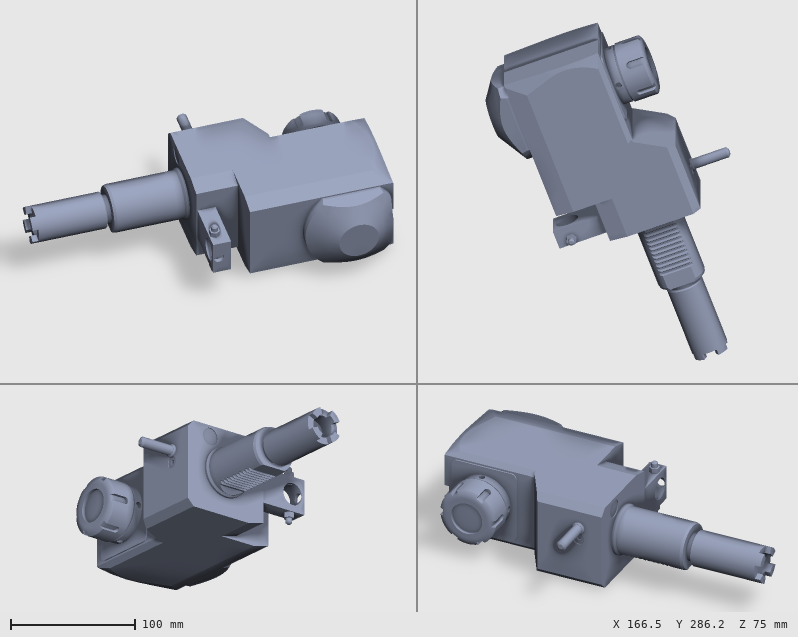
import cadquery as cq
import math


HALF_HEIGHT = 37.5
BACK_Y = 156.0
FOOT_LEFT = -39.0
FOOT_RIGHT = 39.0
HEAD_LEFT = -8.5
HEAD_RIGHT = 72.0
HEAD_FRONT_Y = 35.2
SLANT_START_Y = 57.8
SLANT_ANGLE = 30
SLANT_END_Y = SLANT_START_Y + (HEAD_LEFT - FOOT_LEFT) * math.tan(math.radians(SLANT_ANGLE))
RIGHT_BEVEL_WIDTH = 15.0
RIGHT_BEVEL_ANGLE = 15
RIGHT_BEVEL_DROP = RIGHT_BEVEL_WIDTH * math.tan(math.radians(RIGHT_BEVEL_ANGLE))
FOOT_BEVEL = 6.0
HEAD_BEVEL_WIDTH = 4.0
HEAD_BEVEL_DROP = 4.3

CROWN_ANGLE = 14
CROWN_PEAK_X = 21.5
CROWN_PEAK_Z = 36.5
CROWN_RADIUS = 169.0
CROWN_ARC_END = 14.0
CROWN_LENGTH = 40.0
SLOT_HALF_WIDTH = 5.0
SLOT_DEPTH = 3.7

SPINDLE_Y = 120.2

PAD_THICKNESS = 1.1
PAD_SIZE_Y = 58.0
PAD_SIZE_Z = 63.3
PAD_CORNER = 5.0
NUT_RADIUS = 25.0
NUT_FRONT_X = -41.2
NUT_SHOULDER_X = -38.6
NUT_BACK_X = -19.0
NUT_FACE_RADIUS = 18.0
NUT_ROUNDING_X = -40.5
NUT_ROUNDING_RADIUS = 22.3
COLLET_RADIUS = 14.0
COLLET_RECESS = 3.0
NECK_RADIUS = 23.0
RING_RADIUS = 24.0
RING_FRONT_X = -17.2
RING_HOLE_X = -13.2
RING_HOLE_RADIUS = 2.5
RING_HOLE_DEPTH = 4.3
RING_HOLE_COUNT = 4
NUT_SLOT_COUNT = 6
NUT_SLOT_WIDTH = 6.0
NUT_SLOT_END_X = -24.5
NUT_SLOT_FLOOR = 21.8

CAP_RADIUS = 40.5
CAP_RIM_X = 79.0
CAP_END_X = 95.0
CAP_END_RADIUS = 16.5
CAP_FLAT_Y = 152.0
CAP_SIDE_Z = 32.3
CAP_SIDE_START_X = 74.5
CAP_SIDE_ANGLE = 12

COLLAR_RADIUS = 21.5
COLLAR_LENGTH = 2.0
COLLAR_END_Y = -3.7
SHANK_RADIUS = 20.0
SHANK_END_Y = -63.0
SHANK_CHAMFER_LENGTH = 2.3
SHANK_CHAMFER_DEPTH = 1.0
GROOVE_RADIUS = 12.0
DRIVE_START_Y = -67.0
DRIVE_RADIUS = 15.2
DRIVE_CHAMFER = 1.0
CLAW_LENGTH = 5.0
DRIVE_END_Y = -130.2
CLAW_BORE_RADIUS = 9.5
CLAW_BORE_DEPTH = 17.2
CLAW_SLOT_COUNT = 4
CLAW_SLOT_ANGLE = 48

FLAT_Z = -16.0
FLAT_START_Y = -8.0
RACK_PITCH = 4.0
RACK_GAP_COUNT = 10
RACK_FIRST_Y = -12.0
RACK_DEPTH = 2.0
GAP_TOP_WIDTH = 3.5
GAP_ROOT_WIDTH = 1.5

ARM_END_X = 82.0
ARM_FRONT_Y = 1.1
ARM_THICKNESS = 15.2
ARM_HALF_HEIGHT = 15.2
ARM_HOLE_X = 69.8
ARM_HOLE_RADIUS = 9.5
CROSS_HOLE_RADIUS = 4.3
SCREW_Y = 6.0
SCREW_RADIUS = 2.72
SCREW_INNER_Z = 9.0
SCREW_CHAMFER = 1.1
SCREW_END_Z = 24.5
HEX_NUT_WIDTH = 9.0
HEX_NUT_END_Z = 19.8

PIN_Y = 21.0
PIN_Z = 16.0
PIN_RADIUS = 4.3
PIN_TIP_X = -71.5
PIN_TIP_LENGTH = 1.7
PIN_TIP_RADIUS = 2.3
PIN_COLLAR_RADIUS = 5.5
PIN_COLLAR_LENGTH = 2.0
PIN_COLLAR_CHAMFER = 1.0
LOCK_SCREW_Z = 6.3
LOCK_SCREW_RADIUS = 5.2
LOCK_SOCKET_WIDTH = 4.0
LOCK_SOCKET_DEPTH = 2.5
PLUG_X = -16.0
PLUG_Z = 27.8
PLUG_RADIUS = 7.5
SEAT_DEPTH = 1.0

OVERLAP = 3.0
CLEARANCE = 14.3


def cylinder_x(start_x, end_x, y, z, radius):
    """Cylinder along X between two X positions."""
    return cq.Workplane("YZ", origin=(start_x, y, z)).circle(radius).extrude(end_x - start_x)


def prism_y(points, start_y, end_y):
    """Prism along Y over an outline of (x, z) points."""
    return cq.Workplane("XZ", origin=(0, start_y, 0)).polyline(points).close().extrude(start_y - end_y)


def mirrored(solid):
    """The solid together with its mirror image below Z = 0."""
    return solid.union(solid.mirror("XY"))


def edge_bevel(corner_x, width, drop, start_y, end_y):
    """Wedges for a top and bottom edge; positive width runs from a right-hand edge inward."""
    outside = math.copysign(OVERLAP, width)
    slope = drop / abs(width)
    points = [
        (corner_x - width, HALF_HEIGHT),
        (corner_x + outside, HALF_HEIGHT - drop - slope * OVERLAP),
        (corner_x + outside, HALF_HEIGHT + OVERLAP),
        (corner_x - width, HALF_HEIGHT + OVERLAP),
    ]
    return mirrored(prism_y(points, start_y, end_y))


def crown_cutter():
    """Material above a shallow ridge that slopes down towards the back face."""
    tilt = math.radians(CROWN_ANGLE)
    plane = cq.Plane(
        origin=(0, BACK_Y, 0), xDir=(1, 0, 0), normal=(0, -math.cos(tilt), math.sin(tilt))
    )
    peak = CROWN_PEAK_Z * math.cos(tilt)
    lid = HALF_HEIGHT + CLEARANCE

    def on_arc(offset):
        return (CROWN_PEAK_X + offset, peak - CROWN_RADIUS + math.sqrt(CROWN_RADIUS**2 - offset**2))

    left_offset = HEAD_LEFT - OVERLAP - CROWN_PEAK_X
    line_start = on_arc(CROWN_ARC_END)
    line_slope = CROWN_ARC_END / math.sqrt(CROWN_RADIUS**2 - CROWN_ARC_END**2)
    right_x = HEAD_RIGHT + OVERLAP
    right_height = line_start[1] - line_slope * (right_x - line_start[0])
    cutter = (
        cq.Workplane(plane)
        .workplane(offset=-CLEARANCE)
        .moveTo(*on_arc(left_offset))
        .threePointArc(on_arc(0), line_start)
        .lineTo(right_x, right_height)
        .lineTo(right_x, lid)
        .lineTo(on_arc(left_offset)[0], lid)
        .close()
        .extrude(CROWN_LENGTH + CLEARANCE)
    )
    return mirrored(cutter)


def make_housing():
    outline = [
        (FOOT_LEFT, 0),
        (FOOT_RIGHT, 0),
        (FOOT_RIGHT, HEAD_FRONT_Y),
        (HEAD_RIGHT, HEAD_FRONT_Y),
        (HEAD_RIGHT, BACK_Y),
        (HEAD_LEFT, BACK_Y),
        (HEAD_LEFT, SLANT_END_Y),
        (FOOT_LEFT, SLANT_START_Y),
    ]
    housing = cq.Workplane("XY").polyline(outline).close().extrude(HALF_HEIGHT, both=True)
    back = BACK_Y + OVERLAP
    foot_bevel_end = SLANT_START_Y + CLEARANCE
    for cutter in (
        edge_bevel(FOOT_RIGHT, RIGHT_BEVEL_WIDTH, RIGHT_BEVEL_DROP, -OVERLAP, HEAD_FRONT_Y),
        edge_bevel(HEAD_RIGHT, RIGHT_BEVEL_WIDTH, RIGHT_BEVEL_DROP, HEAD_FRONT_Y, back),
        edge_bevel(FOOT_LEFT, -FOOT_BEVEL, FOOT_BEVEL, -OVERLAP, foot_bevel_end),
        edge_bevel(HEAD_LEFT, -HEAD_BEVEL_WIDTH, HEAD_BEVEL_DROP, SLANT_END_Y, back),
        crown_cutter(),
    ):
        housing = housing.cut(cutter)
    head_width = HEAD_RIGHT - HEAD_LEFT
    back_slot = cq.Workplane("XY").box(head_width, 2 * SLOT_DEPTH, 2 * SLOT_HALF_WIDTH)
    back_slot = back_slot.translate(((HEAD_LEFT + HEAD_RIGHT) / 2, BACK_Y, 0))
    return housing.cut(back_slot)


def make_pad():
    return (
        cq.Workplane("YZ", origin=(HEAD_LEFT - PAD_THICKNESS, SPINDLE_Y, 0))
        .rect(PAD_SIZE_Y, PAD_SIZE_Z)
        .extrude(PAD_THICKNESS + OVERLAP)
        .edges("|X")
        .fillet(PAD_CORNER)
    )


def revolve_spindle(profile):
    """Revolve an (x, radius) sketch around the spindle axis."""
    return profile.close().revolve(360, (0, 0, 0), (1, 0, 0))


def make_collet_nut():
    spindle = cq.Workplane("XY", origin=(0, SPINDLE_Y, 0))
    rounding_middle = (NUT_ROUNDING_X, NUT_ROUNDING_RADIUS)
    nut = revolve_spindle(
        spindle.moveTo(NUT_FRONT_X + COLLET_RECESS, 0)
        .lineTo(NUT_FRONT_X + COLLET_RECESS, COLLET_RADIUS)
        .lineTo(NUT_FRONT_X, COLLET_RADIUS)
        .lineTo(NUT_FRONT_X, NUT_FACE_RADIUS)
        .threePointArc(rounding_middle, (NUT_SHOULDER_X, NUT_RADIUS))
        .lineTo(NUT_BACK_X, NUT_RADIUS)
        .lineTo(NUT_BACK_X, NECK_RADIUS)
        .lineTo(RING_FRONT_X, NECK_RADIUS)
        .lineTo(RING_FRONT_X, RING_RADIUS)
        .lineTo(HEAD_LEFT + OVERLAP, RING_RADIUS)
        .lineTo(HEAD_LEFT + OVERLAP, 0)
    )
    slot_start = NUT_FRONT_X - CLEARANCE
    slot_length = NUT_SLOT_END_X - slot_start
    slot = (
        cq.Workplane("XY", origin=(slot_start + slot_length / 2, SPINDLE_Y, NUT_SLOT_FLOOR))
        .slot2D(slot_length, NUT_SLOT_WIDTH)
        .extrude(NUT_RADIUS)
    )
    hole = (
        cq.Workplane("XY", origin=(RING_HOLE_X, SPINDLE_Y, RING_RADIUS - RING_HOLE_DEPTH))
        .circle(RING_HOLE_RADIUS)
        .extrude(2 * RING_HOLE_DEPTH)
    )
    axis_start = (0, SPINDLE_Y, 0)
    axis_end = (1, SPINDLE_Y, 0)
    for i in range(NUT_SLOT_COUNT):
        nut = nut.cut(slot.rotate(axis_start, axis_end, 90 + i * 360 / NUT_SLOT_COUNT))
    for i in range(RING_HOLE_COUNT):
        nut = nut.cut(hole.rotate(axis_start, axis_end, i * 360 / RING_HOLE_COUNT))
    return nut


def make_cap():
    spindle = cq.Workplane("XY", origin=(0, SPINDLE_Y, 0))
    start_x = HEAD_RIGHT - OVERLAP
    cone = revolve_spindle(
        spindle.moveTo(start_x, 0)
        .lineTo(start_x, CAP_RADIUS)
        .lineTo(CAP_RIM_X, CAP_RADIUS)
        .lineTo(CAP_END_X, CAP_END_RADIUS)
        .lineTo(CAP_END_X, 0)
    )
    side_end_z = CAP_SIDE_Z - (CAP_END_X - CAP_SIDE_START_X) * math.tan(math.radians(CAP_SIDE_ANGLE))
    sides = [
        (start_x, CAP_SIDE_Z),
        (CAP_SIDE_START_X, CAP_SIDE_Z),
        (CAP_END_X, side_end_z),
        (CAP_END_X, -side_end_z),
        (CAP_SIDE_START_X, -CAP_SIDE_Z),
        (start_x, -CAP_SIDE_Z),
    ]
    return cone.intersect(prism_y(sides, SPINDLE_Y - CAP_RADIUS - OVERLAP, CAP_FLAT_Y))


def make_shank():
    profile = [
        (0, OVERLAP),
        (COLLAR_RADIUS, OVERLAP),
        (COLLAR_RADIUS, -COLLAR_LENGTH),
        (SHANK_RADIUS, COLLAR_END_Y),
        (SHANK_RADIUS, SHANK_END_Y + SHANK_CHAMFER_LENGTH),
        (SHANK_RADIUS - SHANK_CHAMFER_DEPTH, SHANK_END_Y),
        (GROOVE_RADIUS, SHANK_END_Y),
        (GROOVE_RADIUS, DRIVE_START_Y),
        (DRIVE_RADIUS - DRIVE_CHAMFER, DRIVE_START_Y),
        (DRIVE_RADIUS, DRIVE_START_Y - DRIVE_CHAMFER),
        (DRIVE_RADIUS, DRIVE_END_Y),
        (CLAW_BORE_RADIUS, DRIVE_END_Y),
        (CLAW_BORE_RADIUS, DRIVE_END_Y + CLAW_BORE_DEPTH),
        (0, DRIVE_END_Y + CLAW_BORE_DEPTH),
    ]
    shank = cq.Workplane("XY").polyline(profile).close().revolve(360, (0, 0, 0), (0, 1, 0))
    slot_height = 2 * DRIVE_RADIUS
    slot_half_width = slot_height * math.tan(math.radians(CLAW_SLOT_ANGLE / 2))
    sector = [(0, 0), (slot_half_width, slot_height), (-slot_half_width, slot_height)]
    claw_slot = prism_y(sector, DRIVE_END_Y - OVERLAP, DRIVE_END_Y + CLAW_LENGTH)
    for i in range(CLAW_SLOT_COUNT):
        shank = shank.cut(claw_slot.rotate((0, 0, 0), (0, 1, 0), i * 360 / CLAW_SLOT_COUNT))
    return shank.cut(rack_cutter())


def rack_cutter():
    """Flat with a 45 degree run-in and evenly spaced tooth gaps across the shank underside."""
    run_in = COLLAR_RADIUS + OVERLAP + FLAT_Z
    across = cq.Workplane("YZ", origin=(-COLLAR_RADIUS, 0, 0))
    flat = [
        (FLAT_START_Y, FLAT_Z),
        (FLAT_START_Y + run_in, FLAT_Z - run_in),
        (SHANK_END_Y, FLAT_Z - run_in),
        (SHANK_END_Y, FLAT_Z),
    ]
    cutter = across.polyline(flat).close().extrude(2 * COLLAR_RADIUS)
    for i in range(RACK_GAP_COUNT):
        y = RACK_FIRST_Y - i * RACK_PITCH
        gap = [
            (y - GAP_TOP_WIDTH / 2, FLAT_Z),
            (y - GAP_ROOT_WIDTH / 2, FLAT_Z + RACK_DEPTH),
            (y + GAP_ROOT_WIDTH / 2, FLAT_Z + RACK_DEPTH),
            (y + GAP_TOP_WIDTH / 2, FLAT_Z),
        ]
        cutter = cutter.union(across.polyline(gap).close().extrude(2 * COLLAR_RADIUS))
    return cutter


def make_arm():
    start_x = FOOT_RIGHT - OVERLAP
    arm = cq.Workplane("XY").box(
        ARM_END_X - start_x, ARM_THICKNESS, 2 * ARM_HALF_HEIGHT, centered=(False, False, True)
    )
    arm = arm.translate((start_x, ARM_FRONT_Y, 0))
    hole = cq.Workplane("XZ", origin=(ARM_HOLE_X, 0, 0)).circle(ARM_HOLE_RADIUS)
    arm = arm.cut(hole.extrude(-(ARM_FRONT_Y + ARM_THICKNESS)))
    arm = arm.cut(cylinder_x(ARM_HOLE_X, ARM_END_X, SCREW_Y, 0, CROSS_HOLE_RADIUS))
    screw = (
        cq.Workplane("XY", origin=(ARM_HOLE_X, SCREW_Y, SCREW_INNER_Z))
        .circle(SCREW_RADIUS)
        .extrude(SCREW_END_Z - SCREW_INNER_Z)
        .faces(">Z")
        .chamfer(SCREW_CHAMFER)
    )
    hex_nut = (
        cq.Workplane("XY", origin=(ARM_HOLE_X, SCREW_Y, ARM_HALF_HEIGHT))
        .polygon(6, HEX_NUT_WIDTH)
        .extrude(HEX_NUT_END_Z - ARM_HALF_HEIGHT)
    )
    return arm.union(mirrored(screw.union(hex_nut)))


def make_pin():
    pin = cylinder_x(PIN_TIP_X, FOOT_LEFT + OVERLAP, PIN_Y, PIN_Z, PIN_RADIUS)
    pin = pin.faces("<X").chamfer(PIN_TIP_LENGTH, PIN_RADIUS - PIN_TIP_RADIUS)
    collar_start = FOOT_LEFT - PIN_COLLAR_LENGTH
    collar = cylinder_x(collar_start, FOOT_LEFT + OVERLAP, PIN_Y, PIN_Z, PIN_COLLAR_RADIUS)
    return pin.union(collar.faces("<X").chamfer(PIN_COLLAR_CHAMFER))


def lock_screw_cutter():
    """Shallow seat of the locking screw with its hexagon socket."""
    seat = cylinder_x(FOOT_LEFT, FOOT_LEFT + SEAT_DEPTH, PIN_Y, LOCK_SCREW_Z, LOCK_SCREW_RADIUS)
    socket = (
        cq.Workplane("YZ", origin=(FOOT_LEFT, PIN_Y, LOCK_SCREW_Z))
        .polygon(6, LOCK_SOCKET_WIDTH)
        .extrude(LOCK_SOCKET_DEPTH)
    )
    return seat.union(socket)


def plug_cutter():
    """Shallow round seat on the front face of the foot."""
    return cq.Workplane("XZ", origin=(PLUG_X, 0, PLUG_Z)).circle(PLUG_RADIUS).extrude(-SEAT_DEPTH)


result = make_housing().cut(lock_screw_cutter()).cut(plug_cutter())
for component in (make_pad(), make_collet_nut(), make_cap(), make_shank(), make_arm(), make_pin()):
    result = result.union(component)